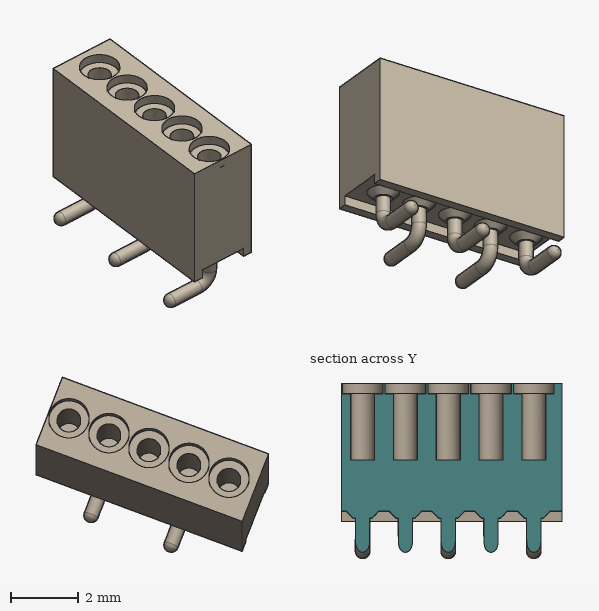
import cadquery as cq

length = 6.55
width = 2.2
height = 4.1
foot = 0.3

contact_count = 5
pitch = 1.27
row_offset = 0.105
contact_xs = [row_offset + (i - (contact_count - 1) / 2) * pitch for i in range(contact_count)]

mouth_diameter = 1.2
mouth_depth = 0.3
bore_diameter = 0.7
bore_depth = 1.965

collar_top_diameter = 0.975
collar_bottom_diameter = 0.56
collar_height = 0.21

pin_diameter = 0.44
pin_drop = 1.1
tip_to_tip = 3.4
pin_reach = tip_to_tip / 2
bend_radius = 0.46
tip_fillet = 0.21
pin_embed = 0.065


def make_housing():
    body = cq.Workplane("XY").box(length, width, height, centered=(True, True, False))
    channel = cq.Workplane("XY").box(length, width - 2 * foot, foot, centered=(True, True, False))
    return body.cut(channel)


def make_sockets():
    centres = [(x, 0) for x in contact_xs]
    top = cq.Workplane("XY").workplane(offset=height).pushPoints(centres)
    mouths = top.circle(mouth_diameter / 2).extrude(-mouth_depth)
    bores = top.circle(bore_diameter / 2).extrude(-(mouth_depth + bore_depth))
    return mouths.union(bores)


def make_collar(x):
    top_radius = collar_top_diameter / 2
    bottom_radius = collar_bottom_diameter / 2
    bottom = foot - collar_height
    profile = (
        cq.Workplane("XZ")
        .moveTo(0, bottom)
        .lineTo(bottom_radius, bottom)
        .lineTo(top_radius, foot)
        .lineTo(top_radius, foot + pin_embed)
        .lineTo(0, foot + pin_embed)
        .close()
    )
    return profile.revolve(360, (0, 0), (0, 1)).translate((x, 0, 0))


def make_pin(x, side):
    """Pin dropping from the housing and bending toward +Y (side 1) or -Y (side -1)."""
    pin_radius = pin_diameter / 2
    axis_z = pin_radius - pin_drop
    bend_z = axis_z + bend_radius
    pin_top = foot + pin_embed

    shank = cq.Workplane("XY").workplane(offset=bend_z).circle(pin_radius).extrude(pin_top - bend_z)
    bend = (
        cq.Workplane("XY")
        .workplane(offset=bend_z)
        .circle(pin_radius)
        .revolve(90, (0, bend_radius), (1, bend_radius))
    )
    tail = (
        cq.Workplane("XZ", origin=(0, bend_radius, axis_z))
        .circle(pin_radius)
        .extrude(bend_radius - pin_reach)
        .faces(">Y")
        .edges()
        .fillet(tip_fillet)
    )
    pin = shank.union(bend).union(tail)
    if side < 0:
        pin = pin.rotate((0, 0, 0), (0, 0, 1), 180)
    return pin.translate((x, 0, 0))


result = make_housing().cut(make_sockets())
for index, contact_x in enumerate(contact_xs):
    pin_side = -1 if index % 2 == 0 else 1
    result = result.union(make_collar(contact_x)).union(make_pin(contact_x, pin_side))